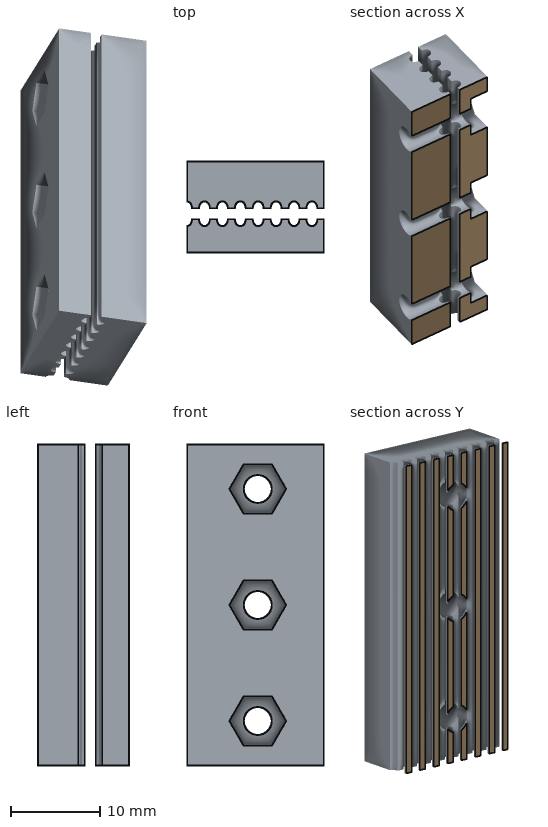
import cadquery as cq
import math


width = 15.3
height = 36.0
total_depth = 10.22
belt_gap = 1.22
nut_plate_depth = 3.75
screw_plate_depth = total_depth - nut_plate_depth - belt_gap

groove_count = 8
groove_span = 14.05
groove_pitch = groove_span / (groove_count - 1)
edge_overhang = 0.07
first_groove_x = -width / 2 - edge_overhang
mouth_width = 1.2
flank_radius = 1.0
tip_radius = 0.55

hole_count = 3
hole_diameter = 3.1
hole_pitch = 13.0
hole_x = 0.25
nut_sides = 6
nut_across_flats = 5.5
nut_across_corners = nut_across_flats / math.cos(math.pi / nut_sides)
nut_pocket_depth = 2.2


def groove_cutter(x, face_y, inward):
    """One belt groove at x; it opens on the plate face at face_y and goes in along inward (+1 or -1)."""
    half_mouth = mouth_width / 2
    flank_offset = flank_radius - half_mouth
    center_distance = flank_radius - tip_radius
    tip_center_depth = math.sqrt(center_distance**2 - flank_offset**2)
    groove_depth = tip_center_depth + tip_radius

    tangent_angle = math.atan2(tip_center_depth, flank_offset)

    def flank_point(side, angle):
        across = flank_radius * math.cos(angle) - flank_offset
        deep = flank_radius * math.sin(angle)
        return (x + side * across, face_y + inward * deep)

    return (
        cq.Workplane("XY", origin=(0, 0, -height / 2))
        .moveTo(*flank_point(-1, 0))
        .threePointArc(flank_point(-1, tangent_angle / 2), flank_point(-1, tangent_angle))
        .threePointArc((x, face_y + inward * groove_depth), flank_point(1, tangent_angle))
        .threePointArc(flank_point(1, tangent_angle / 2), flank_point(1, 0))
        .close()
        .extrude(height)
    )


def on_hole_axes():
    """Workplane on Y = 0, facing +Y, with one point on each screw hole axis."""
    middle = (hole_count - 1) / 2
    points = [(-hole_x, (i - middle) * hole_pitch) for i in range(hole_count)]
    return cq.Workplane("XZ").transformed(rotate=(0, 180, 0)).pushPoints(points)


def grooved_plate(start_y, depth, face_y, inward):
    """Plate from start_y with screw holes through it and belt grooves in its face at face_y."""
    plate = cq.Workplane("XY").box(width, depth, height, centered=(True, False, True))
    plate = plate.translate((0, start_y, 0))
    for i in range(groove_count):
        plate = plate.cut(groove_cutter(first_groove_x + i * groove_pitch, face_y, inward))
    return plate.cut(on_hole_axes().circle(hole_diameter / 2).extrude(total_depth))


def make_nut_plate():
    """Front plate, with a hexagonal nut pocket around each screw hole."""
    plate = grooved_plate(0, nut_plate_depth, nut_plate_depth, -1)
    return plate.cut(on_hole_axes().polygon(nut_sides, nut_across_corners).extrude(nut_pocket_depth))


def make_screw_plate():
    """Thicker rear plate, with the screw holes straight through it."""
    inner_face_y = nut_plate_depth + belt_gap
    return grooved_plate(inner_face_y, screw_plate_depth, inner_face_y, 1)


nut_plate = make_nut_plate()
screw_plate = make_screw_plate()

result = cq.Compound.makeCompound([nut_plate.solids().val(), screw_plate.solids().val()])